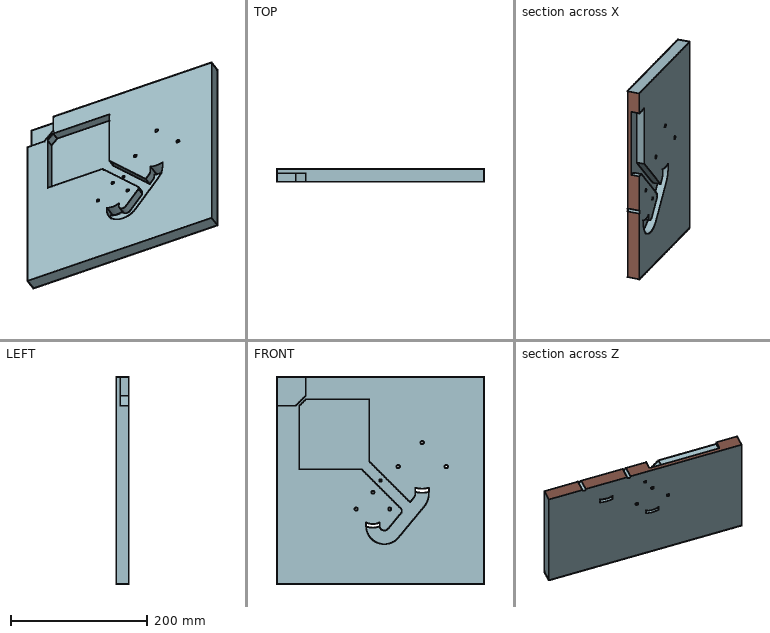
import cadquery as cq
import math

SIDE = 304.8
THICKNESS = 19.05
POCKET_DEPTH = 12.7

HALF = SIDE / 2
FRONT_Y = -THICKNESS / 2

NOTCH_SIDE = 42.6
NOTCH_CHAMFER = 14.9

POCKET_MARGIN = 33.2
POCKET_SIDE = 102.5
POCKET_CHAMFER = 9.4

CHANNEL_WIDTH = 16.1
CHANNEL_START_X = -30.0
CHANNEL_END_X = 44.0
CENTRE_HOLE_DIAMETER = 3.4

CORNER_FLAT_X = 31.4
CORNER_FLAT_TOP_Z = -41.8
CORNER_FLAT_SIDE = 7.0

PASSAGE_WIDTH = 20.0
BEND_RADIUS = {"left": 16.9, "right": 21.6}
BEND_CENTRE_Z = {"left": -66.8, "right": -18.4}
INWARD = {"left": 1, "right": -1}

WHEEL_CENTRE = {"left": (-11.2, -42.1), "right": (61.3, 20.4)}
MOUNT_RADIUS = {"left": 24.7, "right": 35.3}
MOUNT_HOLE_DIAMETER = {"left": 4.2, "right": 4.7}
MOUNT_ANGLES = (0, 90, 180)
RING_INNER_RADIUS = {"left": 22.2, "right": 32.8}
RING_OUTER_RADIUS = {"left": 27.2, "right": 38.4}
WHEELS = ("left", "right")


def front_sketch():
    """Workplane on the front face: local x is X, local y is Z, and its normal is -Y."""
    return cq.Workplane("XZ", origin=(0, FRONT_Y, 0))


def polygon_cutter(outline):
    return front_sketch().polyline(outline).close().extrude(-POCKET_DEPTH)


def through_cylinder(centre, radius):
    return front_sketch().center(*centre).circle(radius).extrude(-THICKNESS)


def corner_notch():
    edge_x = -HALF + NOTCH_SIDE
    edge_z = HALF - NOTCH_SIDE
    return polygon_cutter([
        (-HALF, HALF),
        (edge_x, HALF),
        (edge_x, edge_z + NOTCH_CHAMFER),
        (edge_x - NOTCH_CHAMFER, edge_z),
        (-HALF, edge_z),
    ])


def square_pocket():
    left = -HALF + POCKET_MARGIN
    right = left + POCKET_SIDE
    top = -left
    bottom = -right
    return polygon_cutter([
        (left + POCKET_CHAMFER, top),
        (right, top),
        (right, bottom),
        (left, bottom),
        (left, top - POCKET_CHAMFER),
    ])


def diagonal_channel():
    """Channel along the line Z = -X."""
    offset = CHANNEL_WIDTH / math.sqrt(2)
    return polygon_cutter([
        (CHANNEL_START_X, -CHANNEL_START_X + offset),
        (CHANNEL_END_X, -CHANNEL_END_X + offset),
        (CHANNEL_END_X, -CHANNEL_END_X - offset),
        (CHANNEL_START_X, -CHANNEL_START_X - offset),
    ])


def corner_flat():
    """Block lying within the channel and passage except where it trims their shared corner."""
    right = CORNER_FLAT_X + CORNER_FLAT_SIDE
    bottom = CORNER_FLAT_TOP_Z - CORNER_FLAT_SIDE
    return polygon_cutter([
        (CORNER_FLAT_X, CORNER_FLAT_TOP_Z),
        (right, CORNER_FLAT_TOP_Z),
        (right, bottom),
        (CORNER_FLAT_X, bottom),
    ])


def bend_centre(wheel):
    """Each bend starts vertically below its wheel centre and turns inwards from there."""
    x = WHEEL_CENTRE[wheel][0] + INWARD[wheel] * BEND_RADIUS[wheel]
    return (x, BEND_CENTRE_Z[wheel])


def bend_point(wheel, radius, angle):
    x, z = bend_centre(wheel)
    return (x + radius * math.cos(angle), z + radius * math.sin(angle))


def straight_normal():
    """Angle of the outward normal of the straight that is tangent to both bends."""
    left_x, left_z = bend_centre("left")
    right_x, right_z = bend_centre("right")
    distance = math.hypot(right_x - left_x, right_z - left_z)
    centre_line = math.atan2(right_z - left_z, right_x - left_x)
    return centre_line - math.acos((BEND_RADIUS["left"] - BEND_RADIUS["right"]) / distance)


def passage_cutter(depth):
    """Passage with vertical legs that rise to the two wheel centres."""
    half = PASSAGE_WIDTH / 2
    left_outer = BEND_RADIUS["left"] + half
    left_inner = BEND_RADIUS["left"] - half
    right_outer = BEND_RADIUS["right"] + half
    right_inner = BEND_RADIUS["right"] - half
    left_x, left_z = WHEEL_CENTRE["left"]
    right_x, right_z = WHEEL_CENTRE["right"]

    normal = straight_normal()
    left_start = -math.pi
    left_middle = (left_start + normal) / 2
    right_end = 0
    right_middle = (normal + right_end) / 2

    outline = front_sketch().moveTo(left_x - half, left_z)
    outline = outline.lineTo(*bend_point("left", left_outer, left_start))
    outline = outline.threePointArc(
        bend_point("left", left_outer, left_middle),
        bend_point("left", left_outer, normal),
    )
    outline = outline.lineTo(*bend_point("right", right_outer, normal))
    outline = outline.threePointArc(
        bend_point("right", right_outer, right_middle),
        bend_point("right", right_outer, right_end),
    )
    outline = outline.lineTo(right_x + half, right_z).lineTo(right_x - half, right_z)
    outline = outline.lineTo(*bend_point("right", right_inner, right_end))
    outline = outline.threePointArc(
        bend_point("right", right_inner, right_middle),
        bend_point("right", right_inner, normal),
    )
    outline = outline.lineTo(*bend_point("left", left_inner, normal))
    outline = outline.threePointArc(
        bend_point("left", left_inner, left_middle),
        bend_point("left", left_inner, left_start),
    )
    outline = outline.lineTo(left_x + half, left_z)
    return outline.close().extrude(-depth)


def curved_passage():
    """Blind passage that stops at each ring's inner circle and runs through the plate within the ring."""
    passage = passage_cutter(POCKET_DEPTH)
    full_depth = passage_cutter(THICKNESS)
    for wheel in WHEELS:
        centre = WHEEL_CENTRE[wheel]
        ring_outer = through_cylinder(centre, RING_OUTER_RADIUS[wheel])
        ring_inner = through_cylinder(centre, RING_INNER_RADIUS[wheel])
        passage = passage.union(full_depth.intersect(ring_outer)).cut(ring_inner)
    return passage


def mount_holes(wheel):
    """Holes at the two sides of and above the wheel centre."""
    centre_x, centre_z = WHEEL_CENTRE[wheel]
    points = []
    for angle in MOUNT_ANGLES:
        x = centre_x + MOUNT_RADIUS[wheel] * math.cos(math.radians(angle))
        z = centre_z + MOUNT_RADIUS[wheel] * math.sin(math.radians(angle))
        points.append((x, z))
    return front_sketch().pushPoints(points).circle(MOUNT_HOLE_DIAMETER[wheel] / 2).extrude(-THICKNESS)


result = cq.Workplane("XY").box(SIDE, THICKNESS, SIDE)
result = result.cut(corner_notch())
result = result.cut(square_pocket())
result = result.cut(curved_passage())
result = result.cut(diagonal_channel())
result = result.cut(corner_flat())
result = result.cut(through_cylinder((0, 0), CENTRE_HOLE_DIAMETER / 2))
for wheel in WHEELS:
    result = result.cut(mount_holes(wheel))